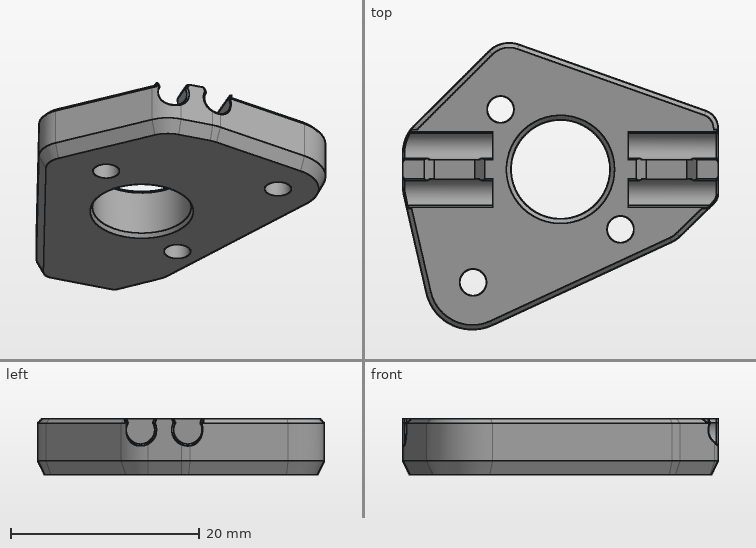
import cadquery as cq
import math

thickness = 6.0
half_length = 16.75
corners = [
    (-half_length, 3.42, 4.02),
    (-6.23, 13.9, 3.0),
    (half_length, 5.75, 2.0),
    (half_length, -3.15, 1.35),
    (12.3, -7.5, 3.0),
    (-12.85, -19.15, 5.02),
    (-half_length, -2.28, 4.02),
]
top_chamfer = 0.5
bottom_chamfer_height = 1.5
bottom_chamfer_inset = 0.75

bore_diameter = 10.5
bore_chamfer = 0.5
bore_bottom_inset = 0.25
screw_hole_diameter = 2.8
screw_holes = [(-6.35, 6.35), (6.35, -6.35), (-9.28, -12.0)]

groove_radius = 1.5
groove_offset = 2.5
groove_axis_depth = 1.2
groove_inner_end = 7.2
neck_half_width = 1.3
mouth_half_width = groove_radius
groove_end_chamfer = 0.2
plain_edge_half_width = 4.2

notch_center = 11.25
notch_top_length = 6.45
notch_depth = 1.5
notch_slope_run = 1.1
notch_floor_length = notch_top_length - 2 * notch_slope_run


def make_blank():
    """Extrude the outline and round its vertical corners."""
    blank = cq.Workplane("XY").polyline([(x, y) for x, y, _ in corners]).close().extrude(thickness)
    for x, y, radius in corners:
        nearest_edge = cq.selectors.NearestToPointSelector((x, y, thickness / 2))
        blank = blank.edges("|Z").edges(nearest_edge).fillet(radius)
    return blank


def make_plate():
    """Chamfer the blank, leaving the top edge sharp at the groove ends."""
    blank = make_blank()
    chamfered = (
        blank.faces("<Z").chamfer(bottom_chamfer_inset, bottom_chamfer_height)
        .faces(">Z").chamfer(top_chamfer)
    )
    sharp_band = blank.intersect(
        cq.Workplane("XY", origin=(0, 0, thickness / 2))
        .box(2 * half_length, 2 * plain_edge_half_width, thickness / 2, centered=(True, True, False))
    )
    return chamfered.union(sharp_band)


def bore_cutter():
    """Through bore with a chamfer at both ends, as a revolved profile."""
    radius = bore_diameter / 2
    top_radius = radius + bore_chamfer
    profile = [
        (0, 0),
        (radius + bore_bottom_inset, 0),
        (radius, bore_chamfer),
        (radius, thickness - bore_chamfer),
        (top_radius, thickness),
        (0, thickness),
    ]
    return cq.Workplane("XZ").polyline(profile).close().revolve(360, (0, 0), (0, 1))


def groove_cutter(side, y):
    """Keyhole groove running from its inner end out past the plate edge."""
    axis_z = thickness - groove_axis_depth
    neck_z = axis_z + math.sqrt(groove_radius**2 - neck_half_width**2)
    profile = (
        cq.Workplane("YZ", origin=(side * groove_inner_end, 0, 0))
        .moveTo(y - mouth_half_width, thickness)
        .lineTo(y - neck_half_width, neck_z)
        .threePointArc((y, axis_z - groove_radius), (y + neck_half_width, neck_z))
        .lineTo(y + mouth_half_width, thickness)
        .close()
    )
    return profile.extrude(side * half_length)


def notch_cutter(side):
    """Trapezoidal notch, as wide as the land between the grooves."""
    x = side * notch_center
    profile = [
        (x - notch_top_length / 2, thickness),
        (x - notch_floor_length / 2, thickness - notch_depth),
        (x + notch_floor_length / 2, thickness - notch_depth),
        (x + notch_top_length / 2, thickness),
    ]
    return cq.Workplane("XZ").polyline(profile).close().extrude(groove_offset, both=True)


def make_grooved_blank():
    """Cut the grooves and bevel their rims where they break through the plate wall."""
    blank = make_blank()
    for side in (-1, 1):
        for y in (-groove_offset, groove_offset):
            blank = blank.cut(groove_cutter(side, y))
    rim_edges = []
    for edge in blank.edges().vals():
        box = edge.BoundingBox()
        beyond_notch = abs(edge.Center().x) > notch_center + notch_top_length / 2
        between_grooves_and_corners = abs(edge.Center().y) < plain_edge_half_width
        above_bottom = box.zmin > thickness - 2 * (groove_axis_depth + groove_radius)
        below_top = box.zmin < thickness - groove_end_chamfer
        if beyond_notch and between_grooves_and_corners and above_bottom and below_top:
            rim_edges.append(edge)
    return blank.newObject(rim_edges).chamfer(groove_end_chamfer)


screw_hole_cutter = (
    cq.Workplane("XY").pushPoints(screw_holes).circle(screw_hole_diameter / 2).extrude(thickness)
)
result = make_plate().intersect(make_grooved_blank())
result = result.cut(bore_cutter()).cut(screw_hole_cutter)
for end in (-1, 1):
    result = result.cut(notch_cutter(end))